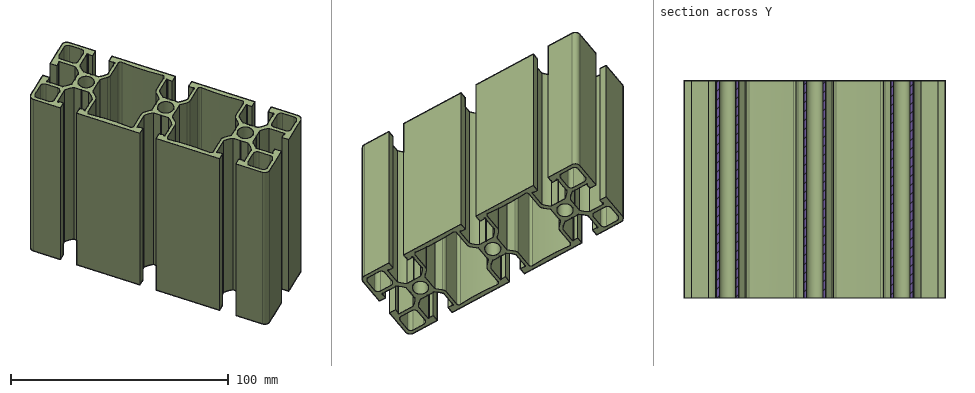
import cadquery as cq
import math

length_x = 120
module_count = 3
height = 100.0
module = length_x / module_count
half_module = module / 2
corner_radius = 2.5

mouth_half = 4.1
lip_depth = 3.5
chamber_half = 7.0
floor_offset = 5.5
slot_bevel = 3.2
slot_bevel_bow = 0.2
relief_width = 0.6
relief_depth = 0.2
mark_width = 0.5
mark_depth = 0.18

core_hole_diameter = 7.5
wall = 1.7
corner_cell_size = 9.6
corner_cell_radius = 1.9
bay_wall = 1.5
waist_offset = 5.2
waist_half_y = 4.1
bay_corner_fillet = 1.2
bay_bend_fillet = 2.6
bay_wall_bow = 0.6

module_centres = [(index - (module_count - 1) / 2) * module for index in range(module_count)]
bay_centres = [(left + right) / 2 for left, right in zip(module_centres, module_centres[1:])]


def make_blank():
    return (
        cq.Workplane("XY")
        .rect(length_x, module)
        .extrude(height)
        .edges("|Z")
        .fillet(corner_radius)
    )


def make_slot():
    """T-slot opening toward +Y of a module centred on the origin."""
    lip_y = half_module - lip_depth
    shoulder_y = floor_offset + slot_bevel
    floor_half = chamber_half - slot_bevel
    relief_y = lip_y + relief_depth
    relief_x = chamber_half - relief_width
    bow_offset = slot_bevel_bow / math.sqrt(2)
    bow_x = (floor_half + chamber_half) / 2 + bow_offset
    bow_y = (floor_offset + shoulder_y) / 2 - bow_offset
    return (
        cq.Workplane("XY")
        .moveTo(0, floor_offset - mark_depth)
        .lineTo(mark_width / 2, floor_offset)
        .lineTo(floor_half, floor_offset)
        .threePointArc((bow_x, bow_y), (chamber_half, shoulder_y))
        .lineTo(chamber_half, relief_y)
        .lineTo(relief_x, relief_y)
        .lineTo(relief_x, lip_y)
        .lineTo(mouth_half, lip_y)
        .lineTo(mouth_half, half_module)
        .lineTo(-mouth_half, half_module)
        .lineTo(-mouth_half, lip_y)
        .lineTo(-relief_x, lip_y)
        .lineTo(-relief_x, relief_y)
        .lineTo(-chamber_half, relief_y)
        .lineTo(-chamber_half, shoulder_y)
        .threePointArc((-bow_x, bow_y), (-floor_half, floor_offset))
        .lineTo(-mark_width / 2, floor_offset)
        .close()
        .extrude(height)
    )


def fillet_upright_edges(body, half_x, half_y, radius):
    """Round the four vertical edges that stand at (+-half_x, +-half_y)."""
    edges = body.edges("|Z").filter(
        lambda edge: math.isclose(abs(edge.Center().x), half_x, abs_tol=0.001)
        and math.isclose(abs(edge.Center().y), half_y, abs_tol=0.001)
    )
    return edges.fillet(radius)


def make_bay():
    """Large hollow between two neighbouring modules, centred on the origin."""
    half_x = half_module - chamber_half - bay_wall
    waist_half_x = half_module - waist_offset
    bend_y = waist_half_y + waist_half_x - half_x
    half_y = half_module - wall
    bowed_y = half_y - bay_wall_bow
    bay = (
        cq.Workplane("XY")
        .moveTo(-half_x, half_y)
        .threePointArc((0, bowed_y), (half_x, half_y))
        .lineTo(half_x, bend_y)
        .lineTo(waist_half_x, waist_half_y)
        .lineTo(waist_half_x, -waist_half_y)
        .lineTo(half_x, -bend_y)
        .lineTo(half_x, -half_y)
        .threePointArc((0, -bowed_y), (-half_x, -half_y))
        .lineTo(-half_x, -bend_y)
        .lineTo(-waist_half_x, -waist_half_y)
        .lineTo(-waist_half_x, waist_half_y)
        .lineTo(-half_x, bend_y)
        .close()
        .extrude(height)
    )
    bay = fillet_upright_edges(bay, half_x, half_y, bay_corner_fillet)
    return fillet_upright_edges(bay, half_x, bend_y, bay_bend_fillet)


def cut_slots(body):
    slot = make_slot()
    for x in module_centres:
        body = body.cut(slot.translate((x, 0, 0)))
        body = body.cut(slot.mirror("XZ").translate((x, 0, 0)))
    end_slot = slot.rotate((0, 0, 0), (0, 0, 1), 90).translate((module_centres[0], 0, 0))
    return body.cut(end_slot).cut(end_slot.mirror("YZ"))


def cut_corner_cells(body):
    centre_x = length_x / 2 - wall - corner_cell_size / 2
    centre_y = half_module - wall - corner_cell_size / 2
    cell = (
        cq.Workplane("XY")
        .rect(corner_cell_size, corner_cell_size)
        .extrude(height)
        .edges("|Z")
        .fillet(corner_cell_radius)
    )
    for x in (-centre_x, centre_x):
        for y in (-centre_y, centre_y):
            body = body.cut(cell.translate((x, y, 0)))
    return body


def cut_bays(body):
    bay = make_bay()
    for x in bay_centres:
        body = body.cut(bay.translate((x, 0, 0)))
    return body


def cut_core_holes(body):
    holes = (
        cq.Workplane("XY")
        .pushPoints([(x, 0) for x in module_centres])
        .circle(core_hole_diameter / 2)
        .extrude(height)
    )
    return body.cut(holes)


result = make_blank()
result = cut_slots(result)
result = cut_corner_cells(result)
result = cut_bays(result)
result = cut_core_holes(result)